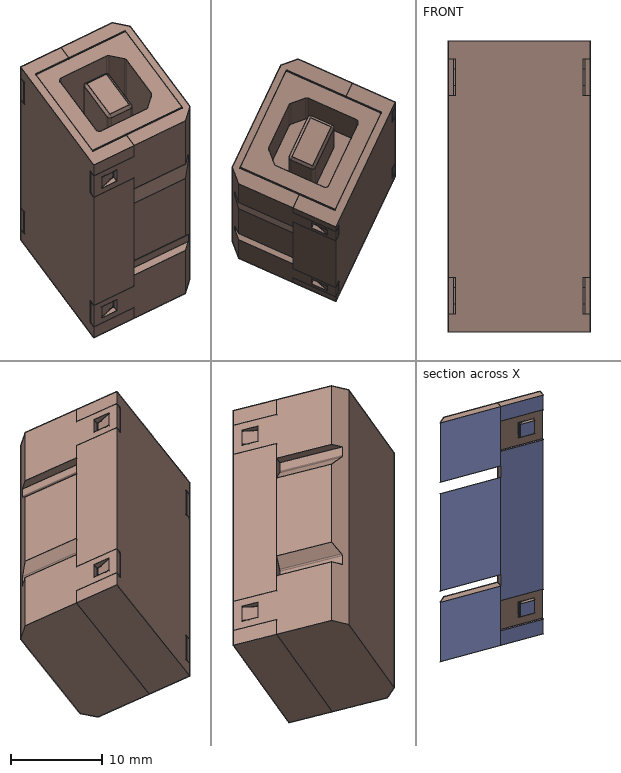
import cadquery as cq

WIDTH = 15.6
DEPTH = 13.2
LENGTH = 32.0
HALF_WIDTH = WIDTH / 2
MID_Z = LENGTH / 2

SPLIT_Y = 5.2
EDGE_CHAMFER = 1.45

GROOVE_DEPTH = 0.9
GROOVE_END = 8.0
GROOVE_BEND = 9.3
GROOVE_RAMP_END = 10.7
GROOVE_BEND_RADIUS = 0.4

TAB_THICKNESS = 0.6
TAB_SLOT_DEPTH = 0.8
TAB_LENGTH = 3.97
TAB_END = 2.0
TAB_CENTRE = TAB_END + TAB_LENGTH / 2

WINDOW_LENGTH = 2.05
WINDOW_FRONT = 1.02
WINDOW_REAR = 2.95
WEDGE_CLEARANCE = 0.13

INSERT_WIDTH = 12.03
INSERT_FRONT = 0.9
INSERT_REAR = 12.4
INSERT_LENGTH = 16.0
INSERT_SIDE_GAP = 0.13

SOCKET_WIDTH = 8.45
SOCKET_FRONT = 2.7
SOCKET_REAR = 10.45
SOCKET_DEPTH = 8.95
SOCKET_CHAMFER = 1.45
SOCKET_CORNER_RADIUS = 0.4

TONGUE_WIDTH = 5.5
TONGUE_THICKNESS = 3.15
TONGUE_Y = 6.53
TONGUE_TOP_DROP = 0.5
TONGUE_CORNER_RADIUS = 0.35
TONGUE_BEVEL = 0.32

SIDES = (-1, 1)
TAB_CENTRES_Z = (TAB_CENTRE, LENGTH - TAB_CENTRE)


def box(x_range, y_range, z_range):
    """Axis-aligned box between pairs of limits."""
    low, high = zip(x_range, y_range, z_range)
    sizes = [b - a for a, b in zip(low, high)]
    return cq.Workplane("XY").box(*sizes, centered=False).translate(low)


def span(centre, length):
    """Limits of a length centred on a value."""
    return (centre - length / 2, centre + length / 2)


def side_span(side, thickness):
    """X limits of a layer of the given thickness just below one side face."""
    return sorted((side * (HALF_WIDTH - thickness), side * HALF_WIDTH))


def insert_recess():
    """Blind recess in the top end of the case, with a gap on each side of the insert."""
    width = INSERT_WIDTH + 2 * INSERT_SIDE_GAP
    return box(span(0, width), (INSERT_FRONT, INSERT_REAR), (LENGTH - INSERT_LENGTH, LENGTH))


def groove_pair(side):
    """Top and bottom finger grooves of one side; each has a ramp toward mid-length."""
    floor_x = side * (HALF_WIDTH - GROOVE_DEPTH)
    face_x = side * HALF_WIDTH
    lower = (
        cq.Workplane("XZ", origin=(0, SPLIT_Y, 0))
        .moveTo(face_x, GROOVE_END)
        .lineTo(floor_x, GROOVE_END)
        .lineTo(floor_x, GROOVE_BEND)
        .lineTo(face_x, GROOVE_RAMP_END)
        .close()
        .extrude(SPLIT_Y - DEPTH)
    )
    bend = cq.selectors.NearestToPointSelector((floor_x, (SPLIT_Y + DEPTH) / 2, GROOVE_BEND))
    lower = lower.edges(bend).fillet(GROOVE_BEND_RADIUS)
    return lower.union(lower.mirror("XY", (0, 0, MID_Z)))


def snap_tab(side, z):
    """Tab that reaches from the rear shell to the front face, with its window."""
    tab = box(side_span(side, TAB_THICKNESS), (0, SPLIT_Y), span(z, TAB_LENGTH))
    window = box(side_span(side, TAB_THICKNESS), (WINDOW_FRONT, WINDOW_REAR), span(z, WINDOW_LENGTH))
    return tab.cut(window)


def snap_wedge(side, z):
    """Wedge on the slot floor, ramped from the tab's inner face up to the side face at its front edge."""
    floor_x = side * (HALF_WIDTH - TAB_SLOT_DEPTH)
    ramp_start_x = side * (HALF_WIDTH - TAB_THICKNESS)
    rear_y = WINDOW_REAR - WEDGE_CLEARANCE
    height = WINDOW_LENGTH - 2 * WEDGE_CLEARANCE
    return (
        cq.Workplane("XY", origin=(0, 0, z - height / 2))
        .moveTo(floor_x, WINDOW_FRONT)
        .lineTo(side * HALF_WIDTH, WINDOW_FRONT)
        .lineTo(ramp_start_x, rear_y)
        .lineTo(floor_x, rear_y)
        .close()
        .extrude(height)
    )


def make_rear_shell():
    shell = box(span(0, WIDTH), (SPLIT_Y, DEPTH), (0, LENGTH))
    shell = shell.edges("|Z and >Y").chamfer(EDGE_CHAMFER)
    shell = shell.cut(insert_recess())
    for side in SIDES:
        shell = shell.cut(groove_pair(side))
        for z in TAB_CENTRES_Z:
            shell = shell.union(snap_tab(side, z))
    return shell


def make_front_cover():
    cover = box(span(0, WIDTH), (0, SPLIT_Y), (0, LENGTH)).cut(insert_recess())
    for side in SIDES:
        for z in TAB_CENTRES_Z:
            slot = box(side_span(side, TAB_SLOT_DEPTH), (0, SPLIT_Y), span(z, TAB_LENGTH))
            cover = cover.cut(slot).union(snap_wedge(side, z))
    return cover


def plug_socket():
    socket = box(span(0, SOCKET_WIDTH), (SOCKET_FRONT, SOCKET_REAR), (LENGTH - SOCKET_DEPTH, LENGTH))
    socket = socket.edges("|Z and >Y").chamfer(SOCKET_CHAMFER)
    return socket.edges("|Z").fillet(SOCKET_CORNER_RADIUS)


def contact_tongue():
    tongue = box(
        span(0, TONGUE_WIDTH),
        span(TONGUE_Y, TONGUE_THICKNESS),
        (LENGTH - SOCKET_DEPTH, LENGTH - TONGUE_TOP_DROP),
    )
    return tongue.edges("|Z").fillet(TONGUE_CORNER_RADIUS).faces(">Z").chamfer(TONGUE_BEVEL)


def make_connector():
    block = box(span(0, INSERT_WIDTH), (INSERT_FRONT, INSERT_REAR), (LENGTH - INSERT_LENGTH, LENGTH))
    return block.cut(plug_socket()).union(contact_tongue())


rear_shell = make_rear_shell()
front_cover = make_front_cover()
connector = make_connector()

result = cq.Compound.makeCompound([rear_shell.val(), front_cover.val(), connector.val()])